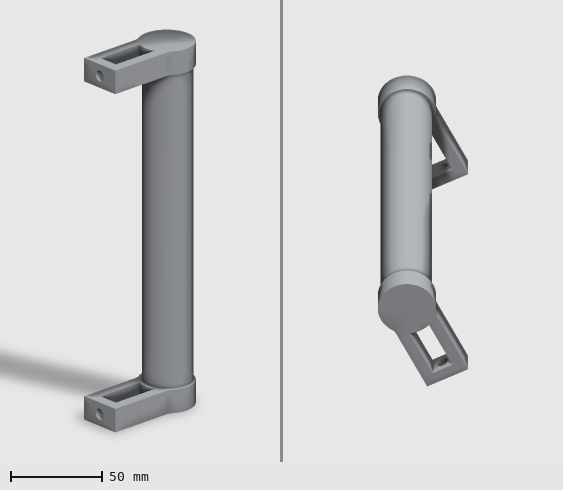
import cadquery as cq
import math

handle_height = 214.0
grip_diameter = 28.2
grip_offset = 0.6
bracket_thickness = 14.0
head_diameter = 31.9
bracket_length = 66.0
arm_width = 25.0
arm_wall = 6.5
neck_radius = 6.0
screw_hole_diameter = 6.5
cap_diameter = 24.8

head_radius = head_diameter / 2
mount_y = head_radius - bracket_length
half_arm = arm_width / 2
half_slot = half_arm - arm_wall
grip_length = handle_height - 2 * bracket_thickness
upper_bracket_z = handle_height - bracket_thickness
bracket_levels = (0.0, upper_bracket_z)


def bracket_blank():
    """Round head blended into a straight arm that reaches the mounting face."""
    neck_center_x = half_arm + neck_radius
    neck_center_distance = head_radius + neck_radius
    neck_center_y = -math.sqrt(neck_center_distance**2 - neck_center_x**2)
    tangent_x = neck_center_x * head_radius / neck_center_distance
    tangent_y = neck_center_y * head_radius / neck_center_distance
    head_direction = math.atan2(-neck_center_y, -neck_center_x)
    middle_direction = (head_direction + math.pi) / 2
    middle_x = neck_center_x + neck_radius * math.cos(middle_direction)
    middle_y = neck_center_y + neck_radius * math.sin(middle_direction)
    return (
        cq.Workplane("XY")
        .moveTo(-half_arm, mount_y)
        .lineTo(half_arm, mount_y)
        .lineTo(half_arm, neck_center_y)
        .threePointArc((middle_x, middle_y), (tangent_x, tangent_y))
        .threePointArc((0, head_radius), (-tangent_x, tangent_y))
        .threePointArc((-middle_x, middle_y), (-half_arm, neck_center_y))
        .close()
        .extrude(bracket_thickness)
    )


def arm_slot():
    """Slot through the arm, square at the mounting end and ending on the round head."""
    slot_front_y = mount_y + arm_wall
    head_end_y = -math.sqrt(head_radius**2 - half_slot**2)
    return (
        cq.Workplane("XY")
        .moveTo(-half_slot, slot_front_y)
        .lineTo(half_slot, slot_front_y)
        .lineTo(half_slot, head_end_y)
        .threePointArc((0, -head_radius), (-half_slot, head_end_y))
        .close()
        .extrude(bracket_thickness)
    )


def screw_hole():
    """Hole from the mounting face through the front wall into the slot."""
    return (
        cq.Workplane("XZ", origin=(0, mount_y, bracket_thickness / 2))
        .circle(screw_hole_diameter / 2)
        .extrude(-arm_wall)
    )


def make_cap(base_z):
    """Round cap that fills the bore of one bracket, flush with both faces."""
    return (
        cq.Workplane("XY", origin=(0, grip_offset, base_z))
        .circle(cap_diameter / 2)
        .extrude(bracket_thickness)
    )


def make_bracket(base_z):
    """Mounting bracket with a bore for its cap, a slotted arm and a screw hole."""
    bracket = bracket_blank().cut(arm_slot()).cut(screw_hole()).cut(make_cap(0))
    return bracket.translate((0, 0, base_z))


def make_grip():
    """Straight round grip held between the two brackets."""
    return (
        cq.Workplane("XY", origin=(0, grip_offset, bracket_thickness))
        .circle(grip_diameter / 2)
        .extrude(grip_length)
    )


grip = make_grip()
brackets = [make_bracket(base_z) for base_z in bracket_levels]
caps = [make_cap(base_z) for base_z in bracket_levels]

result = cq.Compound.makeCompound(
    [
        grip.val(),
        *[bracket.val() for bracket in brackets],
        *[cap.val() for cap in caps],
    ]
)